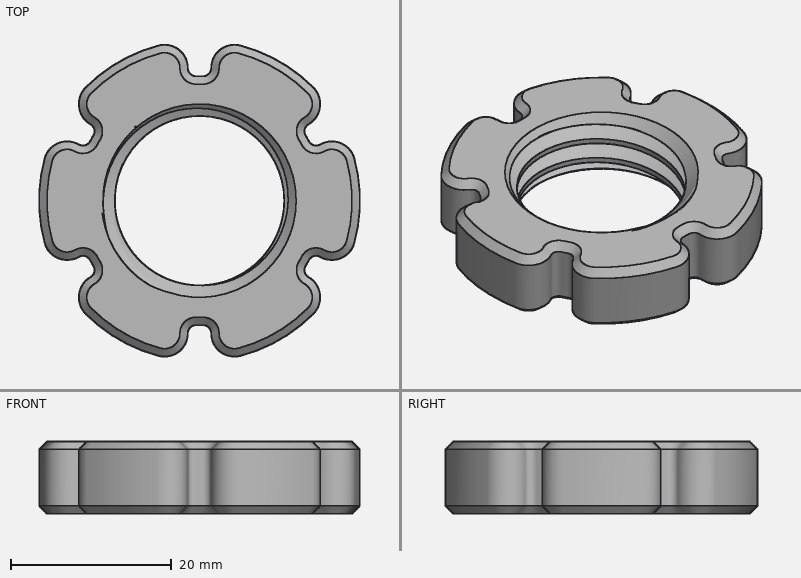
import cadquery as cq
import math

outer_radius = 19.92
thickness = 9.0
edge_chamfer = 1.0

notch_count = 6
notch_flat_half_width = 0.45
notch_corner_radius = 1.0
lobe_corner_radius = 2.9

bore_diameter = 21.0
bore_radius = bore_diameter / 2
thread_root_diameter = 24.35
thread_root_radius = thread_root_diameter / 2
mouth_diameter = 24.0
mouth_radius = mouth_diameter / 2
thread_pitch = 3.0
crest_width = thread_pitch / 4
flank_angle = 30.0
thread_start_height = -1.8
thread_turns = math.ceil(thickness / thread_pitch) + 1
cutter_overlap = 0.15

notch_half_width = notch_flat_half_width + notch_corner_radius
lobe_corner_x = notch_half_width + lobe_corner_radius
lobe_corner_y = math.sqrt((outer_radius - lobe_corner_radius) ** 2 - lobe_corner_x**2)
notch_bottom = lobe_corner_y - notch_corner_radius


def turned(point, angle):
    """Turn an XY point about the origin by an angle in degrees."""
    x, y = point
    cosine = math.cos(math.radians(angle))
    sine = math.sin(math.radians(angle))
    return (x * cosine - y * sine, x * sine + y * cosine)


def arc_point(center, radius, angle):
    """Point on a circle at an angle in degrees."""
    x, y = turned((radius, 0), angle)
    return (center[0] + x, center[1] + y)


def ring_outline():
    """Closed outline of the lobes and notches, drawn clockwise from the +Y notch."""
    step = 360 / notch_count
    notch_center = (notch_flat_half_width, lobe_corner_y)
    lobe_center = (lobe_corner_x, lobe_corner_y)
    lobe_angle = math.degrees(math.atan2(lobe_corner_y, lobe_corner_x))

    flat_end = (notch_flat_half_width, notch_bottom)
    notch_mid = arc_point(notch_center, notch_corner_radius, -45)
    notch_side = (notch_half_width, lobe_corner_y)
    lobe_mid = arc_point(lobe_center, lobe_corner_radius, (180 + lobe_angle) / 2)
    lobe_end = arc_point((0, 0), outer_radius, lobe_angle)
    rim_mid = arc_point((0, 0), outer_radius, 90 - step / 2)

    def mirrored(point):
        """Matching point beside the next notch clockwise."""
        return turned((-point[0], point[1]), -step)

    outline = cq.Workplane("XY").moveTo(-notch_flat_half_width, notch_bottom)
    for index in range(notch_count):
        angle = -index * step
        outline = outline.lineTo(*turned(flat_end, angle))
        for middle, end in (
            (notch_mid, notch_side),
            (lobe_mid, lobe_end),
            (rim_mid, mirrored(lobe_end)),
            (mirrored(lobe_mid), mirrored(notch_side)),
            (mirrored(notch_mid), mirrored(flat_end)),
        ):
            outline = outline.threePointArc(turned(middle, angle), turned(end, angle))
    return outline.close()


def bore_cutter():
    """Plain bore with a 45 degree countersink at each face."""
    countersink = mouth_radius - bore_radius
    return (
        cq.Workplane("XZ")
        .polyline(
            [
                (0, 0),
                (mouth_radius, 0),
                (bore_radius, countersink),
                (bore_radius, thickness - countersink),
                (mouth_radius, thickness),
                (0, thickness),
            ]
        )
        .close()
        .revolve(360, (0, 0, 0), (0, 1, 0))
    )


def thread_turn():
    """One right-handed turn of the thread groove, with straight flanks and a flat root."""
    slope = math.tan(math.radians(flank_angle))
    inner_radius = bore_radius - cutter_overlap
    mouth_half = (thread_pitch - crest_width) / 2 + cutter_overlap * slope
    root_half = mouth_half - (thread_root_radius - inner_radius) * slope
    path = cq.Wire.makeHelix(thread_pitch, thread_pitch, bore_radius)
    return (
        cq.Workplane("XZ")
        .polyline(
            [
                (inner_radius, -mouth_half),
                (thread_root_radius, -root_half),
                (thread_root_radius, root_half),
                (inner_radius, mouth_half),
            ]
        )
        .close()
        .sweep(cq.Workplane(path), isFrenet=True)
    )


result = ring_outline().extrude(thickness)
result = result.faces("<Z or >Z").edges().chamfer(edge_chamfer)
result = result.cut(bore_cutter())

turn = thread_turn()
for index in range(thread_turns):
    result = result.cut(turn.translate((0, 0, thread_start_height + index * thread_pitch)))